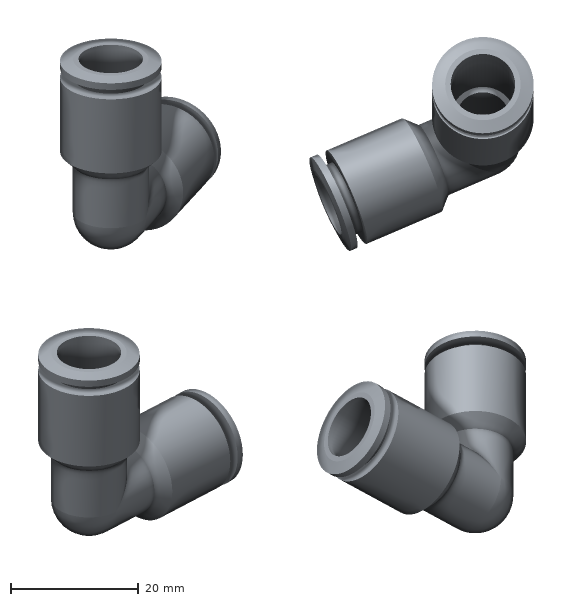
import cadquery as cq

overall_length = 34.7
port_diameter = 16.0
port_radius = port_diameter / 2
mouth = overall_length - port_radius

tube_radius = 6.0
neck_radius = 5.95
collar_face_radius = neck_radius

collar_bevel_depth = 0.35
collar_depth = 1.5
neck_depth = 3.15
body_depth = 16.15
shoulder_depth = body_depth + port_radius - tube_radius

socket_radius = 5.05
socket_depth = body_depth
bore_radius = 4.15
corner_dimple_radius = 1.5


def port_outside():
    """Release collar, neck, body, shoulder and tube, revolved about Z."""
    outline = [
        (0, 0),
        (tube_radius, 0),
        (tube_radius, mouth - shoulder_depth),
        (port_radius, mouth - body_depth),
        (port_radius, mouth - neck_depth),
        (neck_radius, mouth - neck_depth),
        (neck_radius, mouth - collar_depth),
        (port_radius, mouth - collar_depth),
        (port_radius, mouth - collar_bevel_depth),
        (collar_face_radius, mouth),
        (0, mouth),
    ]
    return cq.Workplane("XZ").polyline(outline).close().revolve(360, (0, 0), (0, 1))


def port_inside():
    """Flat-ended bore from the elbow centre, opening into the wider socket."""
    bore = cq.Workplane("XY").circle(bore_radius).extrude(mouth)
    socket = (
        cq.Workplane("XY")
        .workplane(offset=mouth - socket_depth)
        .circle(socket_radius)
        .extrude(socket_depth)
    )
    return bore.union(socket)


def turn_to_y(shape):
    """Turn a shape built along +Z so that it lies along +Y."""
    return shape.rotate((0, 0, 0), (1, 0, 0), -90)


outside = port_outside().union(turn_to_y(port_outside()))
outside = outside.union(cq.Workplane("XY").sphere(tube_radius))

inside = port_inside().union(turn_to_y(port_inside()))
inside = inside.union(cq.Workplane("XY").sphere(corner_dimple_radius))

result = outside.cut(inside)